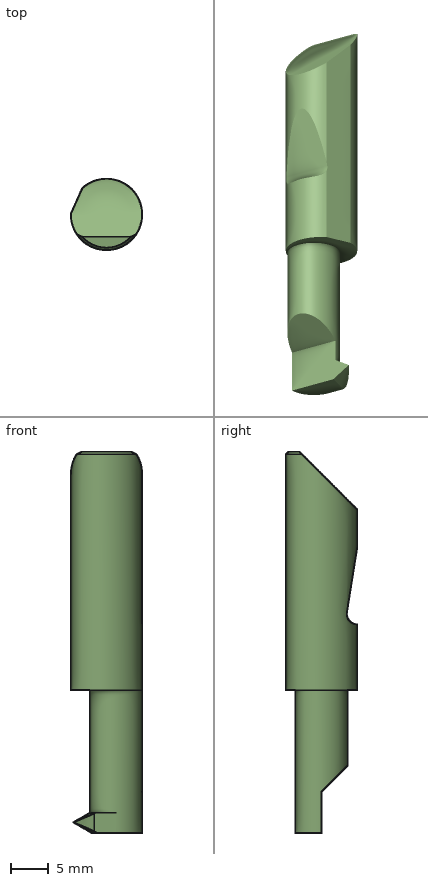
import math

import cadquery as cq


shank_diameter = 9.525
shank_radius = shank_diameter / 2
total_length = 50.8
shank_length = 31.75
top_chamfer = 0.35
bevel_angle = 45.0
bevel_top_y = -2.95

flat_distance = 4.38
flat_direction = 156.0

notch_radius = 1.38
notch_center_z = 29.2
notch_slope = 9.0

neck_length = total_length - shank_length
neck_radius = 3.51
neck_center_x = shank_radius - neck_radius
relief_bottom_z = 5.5
relief_angle = 45.0

tip_x = -4.42
tip_z = 1.45
tooth_height = 2.75
heel_x = -1.6
heel_y = -neck_radius
clearance_bulge = 0.17
flank_angle = 30.0
flank_clearance = 7.0

margin = 10.0


def tangent(degrees):
    return math.tan(math.radians(degrees))


def cylinder(radius, center_x, bottom_z, length):
    return cq.Workplane("XY", origin=(center_x, 0, bottom_z)).circle(radius).extrude(length)


def through_x(outline):
    """Prism along X, centred on the axis, from a YZ outline."""
    return outline.extrude(margin, both=True)


def make_shank():
    shank = cylinder(shank_radius, 0, neck_length, shank_length)
    shank = shank.faces(">Z").chamfer(top_chamfer)
    shank = shank.cut(make_side_flat())
    shank = shank.cut(make_end_bevel())
    return shank.cut(make_whistle_notch())


def make_side_flat():
    block = cq.Workplane("XY").box(margin, 2 * margin, total_length, centered=(False, True, False))
    block = block.translate((flat_distance, 0, 0))
    return block.rotate((0, 0, 0), (0, 0, 1), flat_direction)


def make_end_bevel():
    run = margin + shank_radius
    drop = run * tangent(bevel_angle)
    outline = (
        cq.Workplane("YZ")
        .moveTo(bevel_top_y, total_length)
        .lineTo(bevel_top_y + run, total_length - drop)
        .lineTo(bevel_top_y + run, total_length)
        .close()
    )
    return through_x(outline)


def make_whistle_notch():
    """Quarter-round root that runs tangentially into a shallow ramp rising to the outside."""
    slope = math.radians(notch_slope)
    root_y = shank_radius - notch_radius * math.cos(slope)
    root_z = notch_center_z + notch_radius * math.sin(slope)
    ramp_end_z = root_z + (shank_radius - root_y) / math.tan(slope)
    middle = (slope - math.pi / 2) / 2
    outline = (
        cq.Workplane("YZ")
        .moveTo(shank_radius, notch_center_z - notch_radius)
        .threePointArc(
            (
                shank_radius - notch_radius * math.cos(middle),
                notch_center_z + notch_radius * math.sin(middle),
            ),
            (root_y, root_z),
        )
        .lineTo(shank_radius, ramp_end_z)
        .close()
    )
    return through_x(outline)


def make_neck():
    """Neck relieved to half its section low down, and cleared for the lower part of the tooth."""
    neck = cylinder(neck_radius, neck_center_x, 0, neck_length)
    relief = (
        cq.Workplane("YZ")
        .lineTo(margin, 0)
        .lineTo(margin, relief_bottom_z + margin * tangent(relief_angle))
        .lineTo(0, relief_bottom_z)
        .close()
    )
    return neck.cut(through_x(relief)).cut(make_tooth_blank(tip_z))


def make_tooth_blank(height):
    """Tooth body without flanks: rake face at Y = 0, bulged clearance face behind the tip."""
    chord = math.hypot(heel_x - tip_x, heel_y)
    bulge_x = (tip_x + heel_x) / 2 + clearance_bulge * heel_y / chord
    bulge_y = heel_y / 2 - clearance_bulge * (heel_x - tip_x) / chord
    return (
        cq.Workplane("XY")
        .moveTo(tip_x, 0)
        .threePointArc((bulge_x, bulge_y), (heel_x, heel_y))
        .lineTo(neck_center_x, heel_y)
        .lineTo(neck_center_x, 0)
        .close()
        .extrude(height)
    )


def v_section(y, reach):
    """V outline at depth y; the flanks close in with depth to give clearance."""
    apex_x = tip_x - y * tangent(flank_clearance) / tangent(flank_angle)
    half_height = reach * tangent(flank_angle)
    return cq.Wire.makePolygon(
        [
            cq.Vector(apex_x, y, tip_z),
            cq.Vector(apex_x + reach, y, tip_z + half_height),
            cq.Vector(apex_x + reach, y, tip_z - half_height),
        ],
        close=True,
    )


def make_tooth():
    flanks = cq.Solid.makeLoft([v_section(0, margin), v_section(heel_y, margin)], True)
    return make_tooth_blank(tooth_height).intersect(cq.Workplane(flanks))


result = make_shank().union(make_neck()).union(make_tooth())